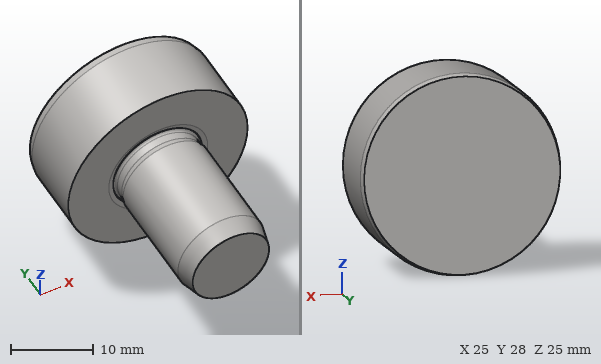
import cadquery as cq
import math

total_length = 28.0
head_length = 10.0
head_radius = 25.0 / 2
shank_radius = 12.0 / 2
neck_radius = 11.6 / 2

lead_angle = math.radians(15)
head_lead_length = 1.0
tip_lead_length = 2.52

neck_length = 1.25
shank_start = 2.0
relief_radius = 13.78 / 2
relief_angle = math.radians(8)
corner_depth = 0.2
corner_radius = 0.4

back_y = total_length / 2
tip_y = -total_length / 2
shoulder_y = back_y - head_length

head_back_radius = head_radius - head_lead_length * math.tan(lead_angle)
tip_radius = shank_radius - tip_lead_length * math.tan(lead_angle)

cone_end_r = neck_radius + corner_radius
cone_end_y = shoulder_y + (relief_radius - cone_end_r) * math.tan(relief_angle)

corner_center_r = cone_end_r
corner_center_y = shoulder_y + corner_depth - corner_radius


def corner_point(angle):
    """Point on the corner arc; the angle is measured from the radial direction towards +Y."""
    return (
        corner_center_r + corner_radius * math.cos(angle),
        corner_center_y + corner_radius * math.sin(angle),
    )


corner_start_angle = math.pi / 2 + relief_angle
corner_middle_angle = (corner_start_angle + math.pi) / 2

half_section = (
    cq.Workplane("XY")
    .moveTo(0, back_y)
    .lineTo(head_back_radius, back_y)
    .lineTo(head_radius, back_y - head_lead_length)
    .lineTo(head_radius, shoulder_y)
    .lineTo(relief_radius, shoulder_y)
    .lineTo(cone_end_r, cone_end_y)
    .lineTo(*corner_point(corner_start_angle))
    .threePointArc(corner_point(corner_middle_angle), (neck_radius, corner_center_y))
    .lineTo(neck_radius, shoulder_y - neck_length)
    .lineTo(shank_radius, shoulder_y - shank_start)
    .lineTo(shank_radius, tip_y + tip_lead_length)
    .lineTo(tip_radius, tip_y)
    .lineTo(0, tip_y)
    .close()
)

result = half_section.revolve(360, (0, 0, 0), (0, 1, 0))